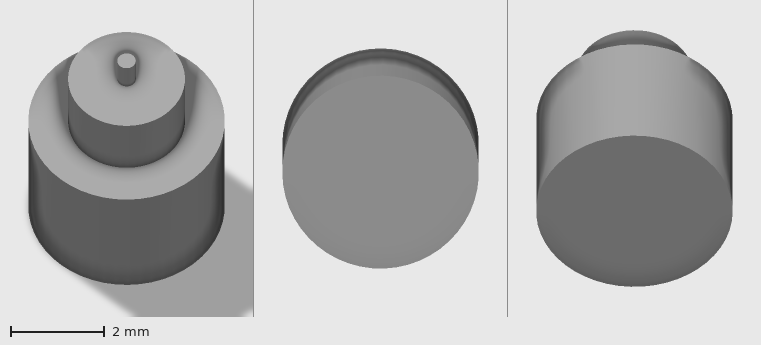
import cadquery as cq

total_height = 5.2
body_diameter = 4.2
collar_diameter = 2.5
insulator_diameter = 1.95
pin_diameter = 0.395
collar_height = 1.5
pin_height = 0.65

collar_top = total_height - pin_height
body_top = collar_top - collar_height


def cylinder(diameter, bottom, top):
    """Round section on the Z axis between two levels."""
    return cq.Workplane("XY").workplane(offset=bottom).circle(diameter / 2).extrude(top - bottom)


body = cylinder(body_diameter, 0, body_top)
collar = cylinder(collar_diameter, body_top, collar_top)
shell = body.union(collar)

insulator = cylinder(insulator_diameter, body_top, collar_top)
pin = cylinder(pin_diameter, collar_top, total_height)
core = insulator.union(pin)

result = shell.cut(insulator).union(core, clean=False)